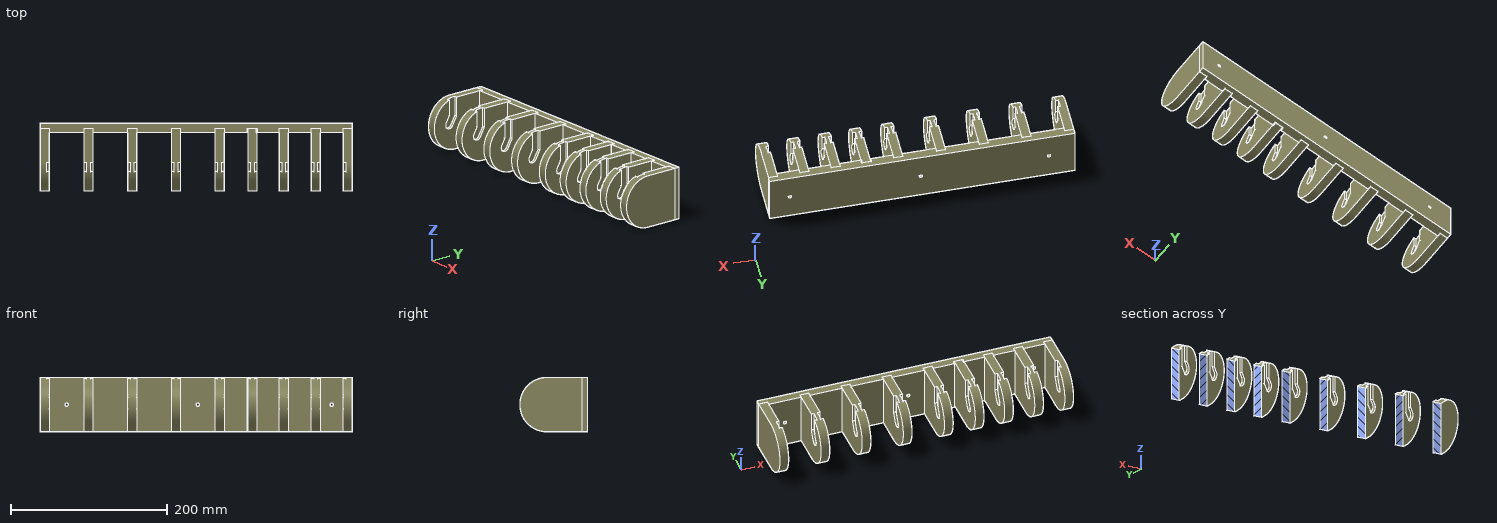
import cadquery as cq
import math

board_length = 400.0
board_height = 70.0
board_thickness = 12.0
groove_floor_y = -7.13
screw_hole_diameter = 4.0

divider_thickness = 12.0
divider_length = 80.0
wide_gap = 44.0
narrow_gap = 29.0
wide_gap_count = 4
narrow_gap_count = 4
nose_length = 33.5

loose_divider = 5
loose_gap = 1.0

slot_width = 12.0
slot_depth = 3.5
slot_end_from_tip = 25.0
slot_end_z = 35.6
slot_bend_rise = 10.4
slot_bend_setback = 6.0

gaps = [wide_gap] * wide_gap_count + [narrow_gap] * narrow_gap_count
groove_lefts = [sum(gaps[:i]) + i * divider_thickness for i in range(len(gaps) + 1)]
last_divider = len(groove_lefts) - 1
gap_centers = [left - gap / 2 for left, gap in zip(groove_lefts[1:], gaps)]
screw_gaps = [0, wide_gap_count - 1, len(gaps) - 1]

groove_depth = board_thickness + groove_floor_y
tip_y = groove_floor_y - divider_length
slot_end_y = tip_y + slot_end_from_tip
slot_bend_y = slot_end_y + slot_bend_setback
slot_bend_z = slot_end_z + slot_bend_rise


def make_board():
    board = cq.Workplane("XY").box(board_length, board_thickness, board_height, centered=False)
    board = board.translate((0, -board_thickness, 0))
    for index, left in enumerate(groove_lefts):
        groove_width = divider_thickness
        if index == loose_divider:
            groove_width += loose_gap
        groove = cq.Workplane("XY").box(groove_width, groove_depth, board_height, centered=False)
        board = board.cut(groove.translate((left, -board_thickness, 0)))
    holes = (
        cq.Workplane("XZ")
        .pushPoints([(gap_centers[i], board_height / 2) for i in screw_gaps])
        .circle(screw_hole_diameter / 2)
        .extrude(board_thickness)
    )
    return board.cut(holes)


def make_slot(left):
    """Bent slot cutter: upright from the top, then slanting forward to a round end."""
    half = slot_width / 2
    slant = math.atan2(slot_bend_setback, slot_bend_rise)
    side_y = half * math.cos(slant)
    side_z = half * math.sin(slant)
    miter = half * math.tan(slant / 2)
    return (
        cq.Workplane("YZ", origin=(left, 0, 0))
        .moveTo(slot_bend_y + half, board_height)
        .lineTo(slot_bend_y + half, slot_bend_z - miter)
        .lineTo(slot_end_y + side_y, slot_end_z - side_z)
        .threePointArc(
            (slot_end_y - half * math.sin(slant), slot_end_z - half * math.cos(slant)),
            (slot_end_y - side_y, slot_end_z + side_z),
        )
        .lineTo(slot_bend_y - half, slot_bend_z + miter)
        .lineTo(slot_bend_y - half, board_height)
        .close()
        .extrude(slot_depth)
    )


def make_divider(index):
    left = groove_lefts[index]
    if index == loose_divider:
        left += loose_gap
    nose_y = tip_y + nose_length
    divider = (
        cq.Workplane("YZ", origin=(left, 0, 0))
        .moveTo(groove_floor_y, 0)
        .lineTo(nose_y, 0)
        .threePointArc((tip_y, board_height / 2), (nose_y, board_height))
        .lineTo(groove_floor_y, board_height)
        .close()
        .extrude(divider_thickness)
    )
    if index == loose_divider:
        step = cq.Workplane("XY").box(loose_gap, groove_depth, board_height, centered=False)
        divider = divider.cut(step.translate((left + divider_thickness - loose_gap, -board_thickness, 0)))
    if index > 0:
        divider = divider.cut(make_slot(left))
    if index < last_divider:
        divider = divider.cut(make_slot(left + divider_thickness - slot_depth))
    return divider


board = make_board()
dividers = [make_divider(index) for index in range(len(groove_lefts))]

result = cq.Compound.makeCompound([board.val()] + [divider.val() for divider in dividers])